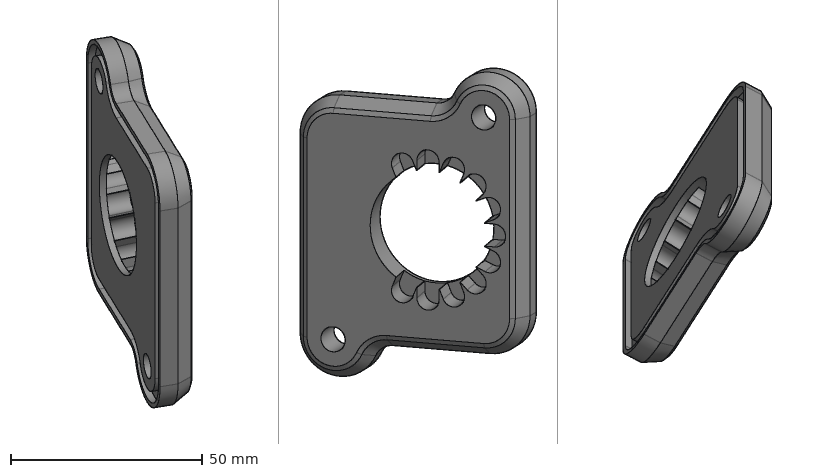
import cadquery as cq
import math

width = 64.0
height = 85.0
thickness = 10.0
shoulder_height = 33.05
corner_radius = 11.05
neck_radius = 5.35

straight_depth = 4.9
bevel_depth = 4.3
bevel_angle = 30.0
edge_break_angle = 60.0

rim_width = 1.3
panel_inset = 4.3
groove_depth = 2.0

screw_hole_diameter = 6.7

bore_diameter = 32.0
bore_x = -4.6
bore_lean = 5.0
lip_depth = 1.95
slot_count = 11
slot_pitch = 360.0 / 16
slot_width = 6.1
slot_end_radius = 18.4
cut_margin = 2.55

corner_x = width / 2 - corner_radius
ear_v = height / 2 - corner_radius
corner_v = shoulder_height - corner_radius


def face_plane(depth):
    """Plane facing the back at a depth behind the front face; local v points down."""
    return cq.Workplane(cq.Plane(origin=(0, depth, 0), xDir=(1, 0, 0), normal=(0, 1, 0)))


def outline(depth, inset=0.0):
    """Closed two-eared outline, moved inward by inset."""
    radius = corner_radius - inset
    neck = neck_radius + inset
    side = width / 2 - inset
    shoulder = shoulder_height - inset
    neck_v = shoulder + neck
    neck_angle = math.asin((neck_v - ear_v) / (radius + neck))
    neck_x = corner_x - (radius + neck) * math.cos(neck_angle)
    ear_end = (corner_x - radius * math.cos(neck_angle), ear_v + radius * math.sin(neck_angle))
    middle_angle = (math.pi - neck_angle) / 2
    ear_middle = (corner_x + radius * math.cos(middle_angle), ear_v + radius * math.sin(middle_angle))
    half_turn = (neck_angle - math.pi / 2) / 2
    neck_middle = (neck_x + neck * math.cos(half_turn), neck_v + neck * math.sin(half_turn))
    diagonal = radius * math.sqrt(0.5)
    corner_middle = (-corner_x - diagonal, corner_v + diagonal)

    wire = face_plane(depth).moveTo(side, -corner_v)
    for sign in (1, -1):
        def place(point):
            return (sign * point[0], sign * point[1])

        wire = wire.lineTo(*place((side, ear_v)))
        wire = wire.threePointArc(place(ear_middle), place(ear_end))
        wire = wire.threePointArc(place(neck_middle), place((neck_x, shoulder)))
        wire = wire.lineTo(*place((-corner_x, shoulder)))
        wire = wire.threePointArc(place(corner_middle), place((-side, corner_v)))
    return wire.close()


def make_body():
    edge_break_start = straight_depth + bevel_depth
    bevel_inset = bevel_depth * math.tan(math.radians(bevel_angle))
    body = outline(0).extrude(straight_depth)
    bevel = outline(straight_depth).extrude(bevel_depth, taper=bevel_angle)
    edge_break = outline(edge_break_start, bevel_inset).extrude(
        thickness - edge_break_start, taper=edge_break_angle
    )
    return body.union(bevel).union(edge_break)


def make_groove():
    groove = outline(0, rim_width).extrude(groove_depth)
    panel = outline(0, panel_inset).extrude(groove_depth)
    return groove.cut(panel)


def make_screw_holes():
    centers = [(corner_x, ear_v), (-corner_x, -ear_v)]
    return face_plane(0).pushPoints(centers).circle(screw_hole_diameter / 2).extrude(thickness)


def lean(shape):
    """Tip a shape about the front centre toward -X with depth, then move it to the bore."""
    return shape.rotate((0, 0, 0), (0, 0, 1), bore_lean).translate((bore_x, 0, 0))


def make_bore():
    """Leaning bore; its radial slots stop at the lip, parallel to the front face."""
    cut_length = thickness + 2 * cut_margin
    bore = face_plane(-cut_margin).circle(bore_diameter / 2).extrude(cut_length)
    slot = (
        face_plane(-cut_margin)
        .center(slot_end_radius / 2, 0)
        .slot2D(slot_end_radius + slot_width, slot_width)
        .extrude(cut_length)
    )
    slots = cq.Workplane()
    for index in range(slot_count):
        angle = 180 + (index - (slot_count - 1) / 2) * slot_pitch
        slots = slots.union(slot.rotate((0, 0, 0), (0, 1, 0), angle))
    behind_lip = face_plane(lip_depth).rect(width, height).extrude(thickness - lip_depth)
    return lean(bore).union(lean(slots).intersect(behind_lip))


result = make_body().cut(make_groove()).cut(make_screw_holes()).cut(make_bore())